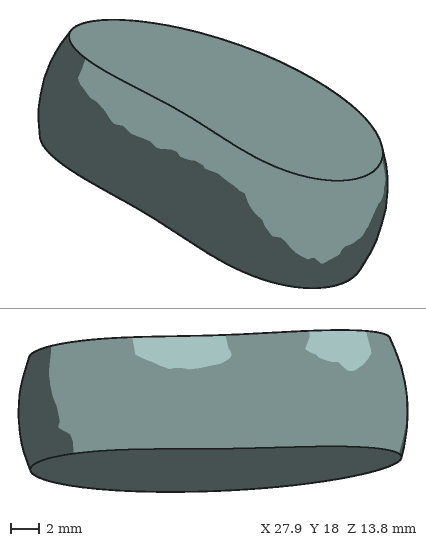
import cadquery as cq
import math

thickness = 8.25

bottom_half_width = 12.6
bottom_half_depth = 9.16
bottom_centre_y = 2.35
top_half_width = 12.27
top_half_depth = 8.38
top_centre_y = 1.9
hollow = 1.37
end_fullness = 0.73
lobe_fullness = 0.85

side_bulge = 0.8
depth_bulge = 1.17
middle_shift_y = 0.05
middle_height = -0.55

lean = -21.1
top_extra_lean = -0.6
yaw = 0.9
bottom_roll = 0.9
top_roll = -0.3

outline_stations = 32

ORIGIN = (0, 0, 0)
X_AXIS = (1, 0, 0)
Y_AXIS = (0, 1, 0)
Z_AXIS = (0, 0, 1)


def kidney_point(half_width, half_depth, centre_y, angle):
    """Point of a kidney outline; the back lies at 90 degrees and the waist at 270."""
    x = half_width * math.cos(angle) + end_fullness * math.cos(3 * angle)
    y = (
        centre_y
        + half_depth * math.sin(angle)
        - hollow * math.cos(2 * angle)
        + lobe_fullness * math.sin(3 * angle)
    )
    return cq.Vector(x, y)


def kidney_wire(half_width, half_depth, centre_y, height, roll, extra_lean=0):
    """Smooth closed kidney outline, rolled about Y, leaned about X and set at the given height."""
    step = 2 * math.pi / outline_stations
    points = [kidney_point(half_width, half_depth, centre_y, i * step) for i in range(outline_stations)]
    knots = range(outline_stations + 1)
    edge = cq.Edge.makeSpline(points, periodic=True, parameters=knots)
    wire = cq.Wire.assembleEdges([edge])
    tilted = wire.rotate(ORIGIN, Y_AXIS, roll).rotate(ORIGIN, X_AXIS, extra_lean)
    return tilted.translate((0, 0, height))


bottom = kidney_wire(
    bottom_half_width, bottom_half_depth, bottom_centre_y, -thickness / 2, bottom_roll
)
middle = kidney_wire(
    (bottom_half_width + top_half_width) / 2 + side_bulge,
    (bottom_half_depth + top_half_depth) / 2 + depth_bulge,
    (bottom_centre_y + top_centre_y) / 2 + middle_shift_y,
    middle_height,
    (bottom_roll + top_roll) / 2,
)
top = kidney_wire(
    top_half_width, top_half_depth, top_centre_y, thickness / 2, top_roll, top_extra_lean
)

slab = cq.Workplane(cq.Solid.makeLoft([bottom, middle, top]))
result = slab.rotate(ORIGIN, Z_AXIS, yaw).rotate(ORIGIN, X_AXIS, lean)